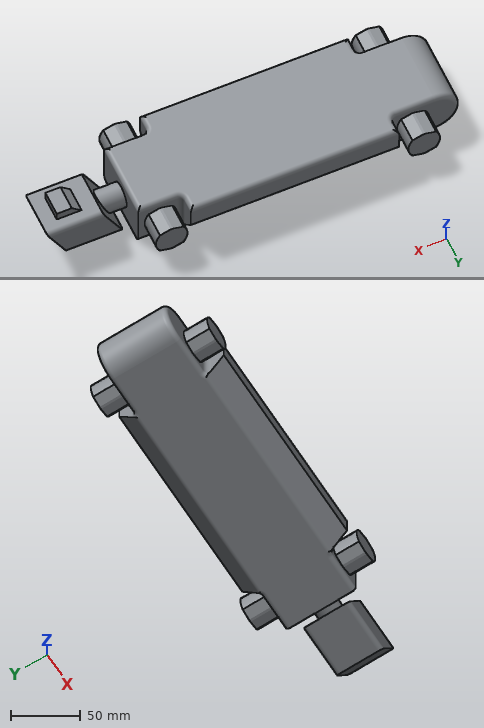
import cadquery as cq

overall_length = 322.5
overall_height = 43.0

body_length = 255.0
body_height = 40.0
narrow_width = 60.0
wide_width = 90.0
wide_start = 54.8
wide_end = 220.0
edge_radius = 4.0
inner_corner_radius = 4.2
mid_height = body_height / 2

wheel_span = 100.0
wheel_centers = (37.0, 237.3)
wheel_diameter = 25.0
wheel_corner_x = 9.5
wheel_corner_z = 10.0
wheel_crest_width = 2.0

rod_diameter = 20.0
head_length = 44.5
head_slant = 16.0
head_width = 40.0
head_bottom = 4.0
head_top = 35.5
button_start = 291.0
button_length = 19.7
button_width = 20.0
button_slope_length = 7.7


def make_body_blank():
    """Bar with a half-round nose, joined to the wide section by concave corners."""
    bar = (
        cq.Workplane("XZ")
        .moveTo(mid_height, 0)
        .lineTo(body_length, 0)
        .lineTo(body_length, body_height)
        .lineTo(mid_height, body_height)
        .threePointArc((0, mid_height), (mid_height, 0))
        .close()
        .extrude(narrow_width / 2, both=True)
    )
    middle = (
        cq.Workplane("XY", origin=(wide_start, 0, 0))
        .box(wide_end - wide_start, wide_width, body_height, centered=(False, True, False))
    )
    corner_points = [(x, side * narrow_width / 2) for x in (wide_start, wide_end) for side in (-1, 1)]
    blank = bar.union(middle)
    for x, y in corner_points:
        corner = cq.selectors.NearestToPointSelector((x, y, mid_height))
        blank = blank.edges("|Z").edges(corner).fillet(inner_corner_radius)
    return blank


def round_rims(blank):
    """Round the upper and lower rims and the nose sides; the rear lower edge stays sharp."""
    upper_rim = blank.faces(">Z").edges("not <X")
    lower_rim = blank.faces("<Z").edges("not (<X or >X)")
    nose_sides = blank.edges("%CIRCLE").edges("<X")
    return upper_rim.add(lower_rim).add(nose_sides).fillet(edge_radius)


def make_flank_envelope():
    """Prism whose lower flanks slope from the wide section in to the bar's bottom edges."""
    half_wide = wide_width / 2
    half_narrow = narrow_width / 2
    return (
        cq.Workplane("YZ")
        .polyline([
            (-half_narrow, 0),
            (half_narrow, 0),
            (half_wide, mid_height),
            (half_wide, body_height),
            (-half_wide, body_height),
            (-half_wide, mid_height),
        ])
        .close()
        .extrude(body_length)
        .edges("<Z and |X")
        .fillet(edge_radius)
    )


def make_wheel_pair(center_x):
    """Post across the body whose ends form two wheels: arched front and rear, ridged above and below."""
    radius = wheel_diameter / 2
    crest = wheel_crest_width / 2
    return (
        cq.Workplane("XZ", origin=(center_x, 0, mid_height))
        .moveTo(-wheel_corner_x, wheel_corner_z)
        .lineTo(-crest, radius)
        .lineTo(crest, radius)
        .lineTo(wheel_corner_x, wheel_corner_z)
        .threePointArc((radius, 0), (wheel_corner_x, -wheel_corner_z))
        .lineTo(crest, -radius)
        .lineTo(-crest, -radius)
        .lineTo(-wheel_corner_x, -wheel_corner_z)
        .threePointArc((-radius, 0), (-wheel_corner_x, wheel_corner_z))
        .close()
        .extrude(wheel_span / 2, both=True)
    )


def make_head():
    """Slanted block with rounded long edges."""
    bottom_end = overall_length - head_slant
    return (
        cq.Workplane("XZ")
        .polyline([
            (bottom_end - head_length, head_bottom),
            (bottom_end, head_bottom),
            (overall_length, head_top),
            (overall_length - head_length, head_top),
        ])
        .close()
        .extrude(head_width / 2, both=True)
        .edges("|X")
        .fillet(edge_radius)
    )


def make_button():
    """Button on the head with a ramp facing the body, rooted inside the head."""
    button_end = button_start + button_length
    return (
        cq.Workplane("XZ")
        .polyline([
            (button_start, mid_height),
            (button_start, head_top),
            (button_start + button_slope_length, overall_height),
            (button_end, overall_height),
            (button_end, mid_height),
        ])
        .close()
        .extrude(button_width / 2, both=True)
    )


def make_rod():
    """Round rod from inside the body to the middle of the head."""
    rod_start = body_length - rod_diameter
    rod_end = overall_length - (head_length + head_slant) / 2
    return (
        cq.Workplane("YZ", origin=(rod_start, 0, mid_height))
        .circle(rod_diameter / 2)
        .extrude(rod_end - rod_start)
    )


result = round_rims(make_body_blank()).intersect(make_flank_envelope())
for wheel_center in wheel_centers:
    result = result.union(make_wheel_pair(wheel_center))
result = result.union(make_rod()).union(make_head()).union(make_button())